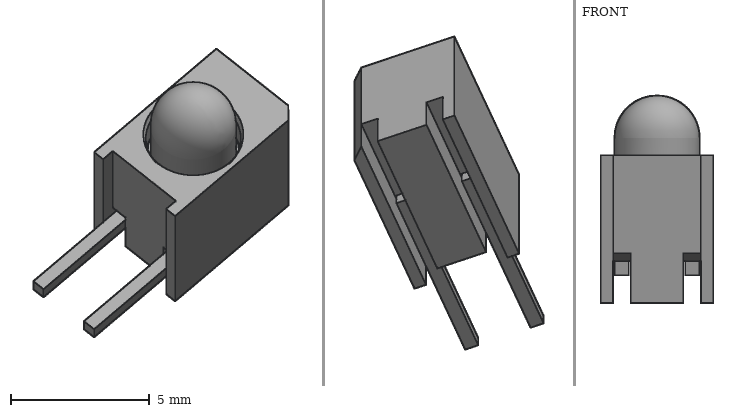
import cadquery as cq


total_length = 10.03
body_width = 4.06
body_height = 5.34
body_length = 6.35
back_y = 3.3
front_y = back_y - body_length
corner_chamfer = 0.45

wall_thickness = 0.45
recess_depth = 0.5
recess_width = body_width - 2 * wall_thickness
recess_y = front_y + recess_depth

lead_size = 0.51
lead_pitch = 2.54
lead_bottom = 1.0
lead_top = lead_bottom + lead_size
lead_tip_y = back_y - total_length
lead_length = -lead_tip_y

web_width = 1.9
slot_width = (recess_width - web_width) / 2
slot_offset = (web_width + slot_width) / 2
slot_taper_height = 0.28
slot_taper_run = 1.6

lead_in_radius = 1.81
lead_in_depth = 0.25
seat_radius = 1.72
seat_depth = 1.3
bore_top_z = body_height - lead_in_depth
seat_floor_z = body_height - seat_depth

flange_radius = 1.65
flange_height = 0.2
lens_radius = 1.54
total_height = 7.49
dome_base_z = total_height - lens_radius


def make_block():
    """Block with one chamfered back corner and a shallow front recess."""
    block = (
        cq.Workplane("XY")
        .box(body_width, body_length, body_height, centered=(True, False, False))
        .translate((0, front_y, 0))
        .edges("|Z and >X and >Y")
        .chamfer(corner_chamfer)
    )
    recess = (
        cq.Workplane("XY")
        .box(recess_width, recess_depth, body_height, centered=(True, False, False))
        .translate((0, front_y, 0))
    )
    return block.cut(recess)


def make_slot(center_x):
    """Lead slot whose ceiling slopes up toward the front mouth."""
    return (
        cq.Workplane("YZ")
        .moveTo(recess_y, 0)
        .lineTo(back_y, 0)
        .lineTo(back_y, lead_top)
        .lineTo(recess_y + slot_taper_run, lead_top)
        .lineTo(recess_y, lead_top + slot_taper_height)
        .close()
        .extrude(slot_width / 2, both=True)
        .translate((center_x, 0, 0))
    )


def make_lead(center_x):
    """Square lead running from below the lens axis out of the front."""
    return (
        cq.Workplane("XY")
        .box(lead_size, lead_length, lead_size, centered=(True, False, False))
        .translate((center_x, lead_tip_y, lead_bottom))
    )


def make_seat():
    """Cutter for the lens seat in the top face."""
    return (
        cq.Workplane("XZ")
        .moveTo(0, seat_floor_z)
        .lineTo(seat_radius, seat_floor_z)
        .lineTo(seat_radius, bore_top_z)
        .lineTo(lead_in_radius, body_height)
        .lineTo(0, body_height)
        .close()
        .revolve(360, (0, 0, 0), (0, 1, 0))
    )


def make_lens():
    """Flange, cylinder and hemispherical dome in one revolved profile."""
    flange_top_z = seat_floor_z + flange_height
    dome_middle = lens_radius * 0.5 ** 0.5
    return (
        cq.Workplane("XZ")
        .moveTo(0, seat_floor_z)
        .lineTo(flange_radius, seat_floor_z)
        .lineTo(flange_radius, flange_top_z)
        .lineTo(lens_radius, flange_top_z)
        .lineTo(lens_radius, dome_base_z)
        .threePointArc((dome_middle, dome_base_z + dome_middle), (0, total_height))
        .close()
        .revolve(360, (0, 0, 0), (0, 1, 0))
    )


result = make_block().cut(make_seat()).union(make_lens())
for side in (-1, 1):
    result = result.cut(make_slot(side * slot_offset))
    result = result.union(make_lead(side * lead_pitch / 2))